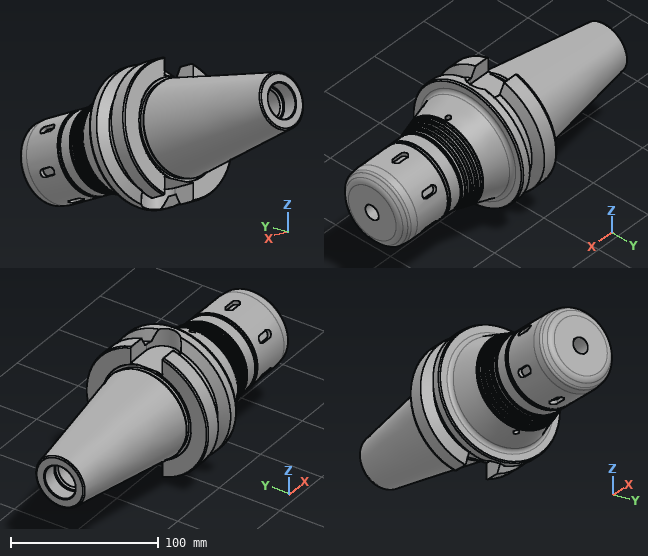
import cadquery as cq
import math


shank_end_radius = 20.1
shank_end_chamfer = (0.7, 1.2)
taper_ratio = 7 / 24
taper_length = 101.4
taper_radius = shank_end_radius + taper_length * taper_ratio / 2
relief_radius = 34.0
relief_chamfer_end = 102.8
face_recess_radius = 36.5
face_recess_depth = 1.0

flange_radius = 50.0
flange_start = 104.5
flange_end = 140.2
flange_chamfer = (1.5, 0.7)
vee_start = 117.5
vee_end = 132.4
vee_floor_radius = 42.5
vee_flank_angle = 30
vee_flank_run = (flange_radius - vee_floor_radius) * math.tan(math.radians(vee_flank_angle))

neck_root_radius = 41.2
neck_end = 179.3
neck_end_radius = 30.8
neck_slope = (neck_end_radius - neck_root_radius) / (neck_end - flange_end)
root_round_reach = 2.5
ring_groove_count = 4
ring_groove_start = 163.0
ring_groove_pitch = 4.0
ring_groove_width = 2.0
ring_groove_depth = 0.7

nut_radius = 30.5
nut_start = 180.2
nut_lead_in = 1.0
gap_radius = 29.8
nut_groove_start = 191.0
nut_groove_width = 2.4
nut_groove_diameter = 60.0
nut_taper_start = 225
nose_start = (230.6, 29.8)
nose_round_end = (232.5, 28.7)
nose_cone_end = (235.0, 26.3)
nut_face_radius = 21.8
total_length = 236.8

through_radius = 12.0 / 2
mouth_radius = 26.3 / 2
counterbore_radius = 25.0 / 2
counterbore_depth = 11.4
step_radius = 24.0 / 2
step_length = 1.0
lead_in_length = 1.5
pilot_radius = 21.3 / 2
pilot_depth = 47.4
mouth_chamfer = mouth_radius - counterbore_radius

drive_slot_width = 26
drive_slot_floor = 35.5
drive_slot_end = 136.0

cross_hole_x = 159.5
cross_hole_diameter = 4.0

wrench_slot_count = 6
wrench_slot_x = 208.1
wrench_slot_length = 13.5
wrench_slot_width = 6.0
wrench_slot_floor = 27.2


def neck_radius(x):
    return neck_root_radius + neck_slope * (x - flange_end)


def turned_body():
    chamfer_length, chamfer_depth = flange_chamfer
    end_length, end_depth = shank_end_chamfer
    neck_angle = math.atan(neck_slope)
    root_round_end = flange_end + root_round_reach * math.cos(neck_angle)
    recess_x = flange_start + face_recess_depth

    profile = (
        cq.Workplane("XY")
        .moveTo(0, 0)
        .lineTo(0, shank_end_radius - end_depth)
        .lineTo(end_length, shank_end_radius)
        .lineTo(taper_length, taper_radius)
        .lineTo(relief_chamfer_end, relief_radius)
        .lineTo(recess_x, relief_radius)
        .lineTo(recess_x, face_recess_radius)
        .lineTo(flange_start, face_recess_radius)
        .lineTo(flange_start, flange_radius - chamfer_depth)
        .lineTo(flange_start + chamfer_length, flange_radius)
        .lineTo(vee_start, flange_radius)
        .lineTo(vee_start + vee_flank_run, vee_floor_radius)
        .lineTo(vee_end - vee_flank_run, vee_floor_radius)
        .lineTo(vee_end, flange_radius)
        .lineTo(flange_end - chamfer_length, flange_radius)
        .lineTo(flange_end, flange_radius - chamfer_depth)
        .lineTo(flange_end, neck_root_radius + root_round_reach)
        .tangentArcPoint((root_round_end, neck_radius(root_round_end)), relative=False)
        .lineTo(neck_end, neck_end_radius)
        .lineTo(neck_end, gap_radius)
        .lineTo(nut_start, gap_radius)
        .lineTo(nut_start + nut_lead_in, nut_radius)
        .lineTo(nut_taper_start, nut_radius)
        .lineTo(*nose_start)
        .tangentArcPoint(nose_round_end, relative=False)
        .lineTo(*nose_cone_end)
        .tangentArcPoint((total_length, nut_face_radius), relative=False)
        .lineTo(total_length, 0)
        .close()
    )
    return profile.revolve(360, (0, 0, 0), (1, 0, 0))


def ring_cutter(start, width, floor_radius):
    outside = cq.Workplane("YZ", origin=(start, 0, 0)).circle(flange_radius)
    return outside.circle(floor_radius).extrude(width)


def neck_groove_cutter(start):
    """Groove whose floor runs parallel to the neck cone."""
    end = start + ring_groove_width
    return (
        cq.Workplane("XY")
        .moveTo(start, neck_radius(start) - ring_groove_depth)
        .lineTo(end, neck_radius(end) - ring_groove_depth)
        .lineTo(end, flange_radius)
        .lineTo(start, flange_radius)
        .close()
        .revolve(360, (0, 0, 0), (1, 0, 0))
    )


def bore_cutter():
    lead_in_start = counterbore_depth + step_length
    return (
        cq.Workplane("XY")
        .moveTo(0, 0)
        .lineTo(0, mouth_radius)
        .lineTo(mouth_chamfer, counterbore_radius)
        .lineTo(counterbore_depth, counterbore_radius)
        .lineTo(counterbore_depth, step_radius)
        .lineTo(lead_in_start, step_radius)
        .lineTo(lead_in_start + lead_in_length, pilot_radius)
        .lineTo(pilot_depth, pilot_radius)
        .lineTo(pilot_depth + pilot_radius - through_radius, through_radius)
        .lineTo(total_length, through_radius)
        .lineTo(total_length, 0)
        .close()
        .revolve(360, (0, 0, 0), (1, 0, 0))
    )


def drive_slot_cutter():
    """Round-ended slot, open toward the shank, above the slot floor."""
    end_radius = drive_slot_width / 2
    end_centre = drive_slot_end - end_radius
    return (
        cq.Workplane("XY", origin=(0, 0, drive_slot_floor))
        .moveTo(flange_start, -end_radius)
        .lineTo(end_centre, -end_radius)
        .threePointArc((drive_slot_end, 0), (end_centre, end_radius))
        .lineTo(flange_start, end_radius)
        .close()
        .extrude(flange_radius)
    )


def wrench_slot_cutter():
    return (
        cq.Workplane("XY", origin=(wrench_slot_x, 0, wrench_slot_floor))
        .slot2D(wrench_slot_length, wrench_slot_width)
        .extrude(nut_radius)
    )


def turned_about_x(shape, angle):
    return shape.rotate((0, 0, 0), (1, 0, 0), angle)


result = turned_body().cut(bore_cutter())

for index in range(ring_groove_count):
    result = result.cut(neck_groove_cutter(ring_groove_start + index * ring_groove_pitch))

result = result.cut(ring_cutter(nut_groove_start, nut_groove_width, nut_groove_diameter / 2))

for angle in (0, 180):
    result = result.cut(turned_about_x(drive_slot_cutter(), angle))

for index in range(wrench_slot_count):
    result = result.cut(turned_about_x(wrench_slot_cutter(), index * 360 / wrench_slot_count))

cross_hole = (
    cq.Workplane("XY", origin=(cross_hole_x, 0, -flange_radius))
    .circle(cross_hole_diameter / 2)
    .extrude(2 * flange_radius)
)
result = result.cut(cross_hole)